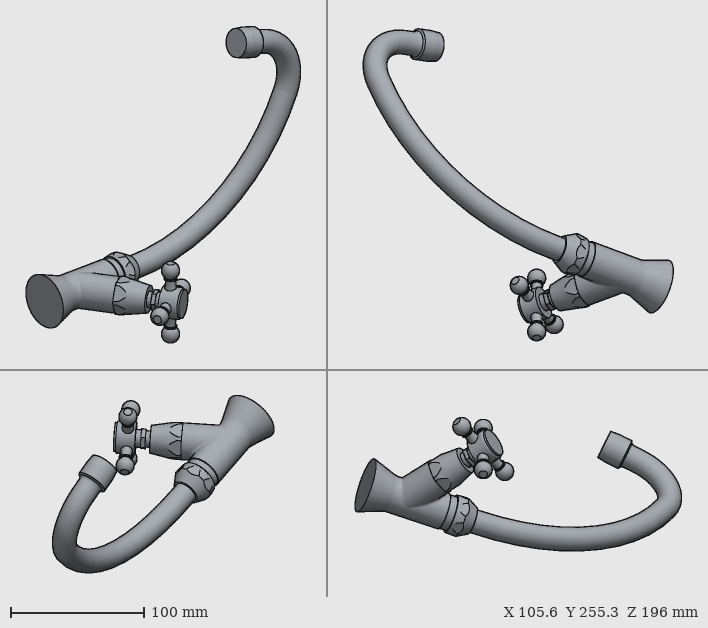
import math

import cadquery as cq

FOOT_RADIUS = 21.0
FOOT_LENGTH = 18.6
FOOT_TOP_RADIUS = 14.5
FOOT_BLEND_LENGTH = 3.0
BODY_RADIUS = 14.0
BODY_END = 63.3
COLLAR_RADIUS = 13.3
SPOUT_RADIUS = 9.0

HEX_SIDES = 6
NUT_START = 69.2
NUT_START_RADIUS = 14.6
NUT_BAND_START = 75.7
NUT_BAND_END = 77.1
NUT_RADIUS = 15.65
NUT_END = 86.4
NUT_END_RADIUS = 10.6
NUT_FLAT_DISTANCE = 14.75

SPOUT_ARC_START = 90.2
SPOUT_ARC_ANGLE = 65.5
OVERALL_LENGTH = 255.33
SPOUT_TIP_RADIUS = 34.4
SPOUT_TIP_ANGLE = 165.5
SPOUT_STRAIGHT_LENGTH = 6.9

NOZZLE_FLARE_LENGTH = 2.9
NOZZLE_FLARE_RADIUS = 10.0
NOZZLE_SHOULDER = 3.9
NOZZLE_RADIUS = 11.7
NOZZLE_TAPER_START = 14.5
NOZZLE_LENGTH = 21.2
NOZZLE_END_RADIUS = 11.0

BRANCH_Y = 31.5
BRANCH_ANGLE = 30.0
BRANCH_RADIUS = 13.9
BRANCH_BLEND_RADIUS = 2.0

BONNET_START = 33.8
BONNET_BAND_END = 37.0
BONNET_RADIUS = 14.6
BONNET_END = 57.6
BONNET_END_RADIUS = 10.5
BONNET_FLAT_DISTANCE = 13.3

STEM_RADIUS = 6.2
STEM_NUT_START = 61.2
STEM_NUT_LENGTH = 3.4
STEM_NUT_CORNER_RADIUS = 8.1
STEM_TOP_RADIUS = 6.7

HUB_START = 68.7
HUB_END = 83.2
HUB_RADIUS = 12.2
HUB_EDGE_RADIUS = 1.2
CAP_RADIUS = 11.0
CAP_THICKNESS = 1.5

ARM_COUNT = 4
ARM_STATION = 74.6
ARM_ROOT_STATION = 10.5
ARM_ROOT_RADIUS = 4.8
ARM_RADIUS = 3.8
ARM_RING_START = 19.2
ARM_RING_LENGTH = 1.2
ARM_RING_RADIUS = 4.8
ARM_NECK_RADIUS = 4.1
BALL_CENTRE = 26.25
BALL_RADIUS = 6.85
BALL_TIP = 32.3

BODY_AXIS = (0, 1, 0)
BODY_ORIGIN = (0, 0, 0)
BRANCH_AXIS = (math.cos(math.radians(BRANCH_ANGLE)), math.sin(math.radians(BRANCH_ANGLE)), 0)
BRANCH_ORIGIN = (0, BRANCH_Y, 0)

BEND = math.radians(SPOUT_ARC_ANGLE)
TIP_HEADING = math.radians(SPOUT_TIP_ANGLE)
TIP_CENTRE_Y = OVERALL_LENGTH - SPOUT_RADIUS - SPOUT_TIP_RADIUS
SPOUT_ARC_RADIUS = (TIP_CENTRE_Y + SPOUT_TIP_RADIUS * math.sin(BEND) - SPOUT_ARC_START) / math.sin(BEND)
TIP_CENTRE_Z = SPOUT_ARC_RADIUS - (SPOUT_ARC_RADIUS - SPOUT_TIP_RADIUS) * math.cos(BEND)
SPOUT_END_AXIS = (0, math.cos(TIP_HEADING), math.sin(TIP_HEADING))


def along(direction, origin=(0, 0, 0), radial=(0, 0, 1)):
    """Workplane whose local X is the radial direction and local Y the turning axis."""
    normal = cq.Vector(*radial).cross(cq.Vector(*direction))
    return cq.Workplane(cq.Plane(origin=origin, xDir=radial, normal=normal.toTuple()))


def turn(outline):
    """Revolve a closed outline about its local Y axis."""
    return outline.close().revolve(360, (0, 0), (0, 1))


def turned_steps(workplane, steps):
    """Turned solid from (radius, station) points in order along the axis."""
    first_station = steps[0][1]
    last_station = steps[-1][1]
    return turn(workplane.polyline([(0, first_station)] + steps + [(0, last_station)]))


def hex_bar(direction, origin, start, end, flat_distance):
    """Hexagonal bar along an axis with a flat facing +Z."""
    corner_diameter = 2 * flat_distance / math.cos(math.pi / HEX_SIDES)
    plane = cq.Plane(origin=origin, xDir=cq.Vector(*direction).cross(cq.Vector(0, 0, 1)), normal=direction)
    bar = cq.Workplane(plane).workplane(offset=start)
    return bar.polygon(HEX_SIDES, corner_diameter).extrude(end - start)


def make_body():
    """Flared foot blended into the cylindrical body."""
    flare_tangent = (FOOT_TOP_RADIUS - FOOT_RADIUS, FOOT_LENGTH)
    outline = (
        along(BODY_AXIS, radial=(-1, 0, 0))
        .moveTo(0, 0)
        .lineTo(FOOT_RADIUS, 0)
        .lineTo(FOOT_TOP_RADIUS, FOOT_LENGTH)
        .spline(
            [(BODY_RADIUS, FOOT_LENGTH + FOOT_BLEND_LENGTH)],
            tangents=[flare_tangent, (0, 1)],
            includeCurrent=True,
        )
        .lineTo(BODY_RADIUS, BODY_END)
        .lineTo(0, BODY_END)
    )
    return turn(outline)


def make_branch():
    """Slanted cylinder that carries the valve."""
    return turned_steps(
        along(BRANCH_AXIS, BRANCH_ORIGIN),
        [(BRANCH_RADIUS, 0), (BRANCH_RADIUS, BONNET_START)],
    )


def make_collar():
    """Narrow collar between the body and the spout nut."""
    return turned_steps(along(BODY_AXIS), [(COLLAR_RADIUS, BODY_END), (COLLAR_RADIUS, NUT_START)])


def make_nut():
    """Double-tapered nut with six flats."""
    blank = turned_steps(
        along(BODY_AXIS, radial=(-1, 0, 0)),
        [
            (NUT_START_RADIUS, NUT_START),
            (NUT_RADIUS, NUT_BAND_START),
            (NUT_RADIUS, NUT_BAND_END),
            (NUT_END_RADIUS, NUT_END),
        ],
    )
    return blank.intersect(hex_bar(BODY_AXIS, BODY_ORIGIN, NUT_START, NUT_END, NUT_FLAT_DISTANCE))


def tip_point(heading):
    """Point (Y, Z) on the tight arc where the spout runs at `heading` from +Y."""
    return (
        TIP_CENTRE_Y + SPOUT_TIP_RADIUS * math.sin(heading),
        TIP_CENTRE_Z - SPOUT_TIP_RADIUS * math.cos(heading),
    )


def moved_along_end(point, distance):
    """Point (Y, Z) shifted along the straight end of the spout."""
    return (point[0] + distance * SPOUT_END_AXIS[1], point[1] + distance * SPOUT_END_AXIS[2])


ARC_JOINT = tip_point(BEND)
TIP_END = tip_point(TIP_HEADING)
SPOUT_END = moved_along_end(TIP_END, SPOUT_STRAIGHT_LENGTH)


def make_spout():
    """Round bar swept along the swan-neck centreline."""
    wide_middle = (
        SPOUT_ARC_START + SPOUT_ARC_RADIUS * math.sin(BEND / 2),
        SPOUT_ARC_RADIUS * (1 - math.cos(BEND / 2)),
    )
    centreline = (
        cq.Workplane("YZ")
        .moveTo(NUT_START, 0)
        .lineTo(SPOUT_ARC_START, 0)
        .threePointArc(wide_middle, ARC_JOINT)
        .threePointArc(tip_point((BEND + TIP_HEADING) / 2), TIP_END)
        .lineTo(*SPOUT_END)
    )
    start = cq.Plane(origin=(0, NUT_START, 0), xDir=(1, 0, 0), normal=BODY_AXIS)
    return cq.Workplane(start).circle(SPOUT_RADIUS).sweep(centreline)


def make_nozzle():
    """Outlet nozzle that flares out of the spout and tapers at its mouth."""
    outline = (
        along(SPOUT_END_AXIS, (0, *SPOUT_END), radial=(1, 0, 0))
        .moveTo(0, 0)
        .lineTo(SPOUT_RADIUS, 0)
        .spline(
            [(NOZZLE_FLARE_RADIUS, NOZZLE_FLARE_LENGTH)],
            tangents=[(0, 1), (1, 1)],
            includeCurrent=True,
        )
        .lineTo(NOZZLE_RADIUS, NOZZLE_SHOULDER)
        .lineTo(NOZZLE_RADIUS, NOZZLE_TAPER_START)
        .lineTo(NOZZLE_END_RADIUS, NOZZLE_LENGTH)
        .lineTo(0, NOZZLE_LENGTH)
    )
    return turn(outline)


def make_bonnet():
    """Tapered bonnet with six flats at its wide end."""
    blank = turned_steps(
        along(BRANCH_AXIS, BRANCH_ORIGIN, radial=(BRANCH_AXIS[1], -BRANCH_AXIS[0], 0)),
        [
            (BONNET_RADIUS, BONNET_START),
            (BONNET_RADIUS, BONNET_BAND_END),
            (BONNET_END_RADIUS, BONNET_END),
        ],
    )
    flats = hex_bar(BRANCH_AXIS, BRANCH_ORIGIN, BONNET_START, BONNET_END, BONNET_FLAT_DISTANCE)
    return blank.intersect(flats)


def make_stem():
    """Valve stem with a hexagonal nut halfway along it."""
    nut_end = STEM_NUT_START + STEM_NUT_LENGTH
    rod = turned_steps(
        along(BRANCH_AXIS, BRANCH_ORIGIN),
        [
            (STEM_RADIUS, BONNET_END),
            (STEM_RADIUS, nut_end),
            (STEM_TOP_RADIUS, nut_end),
            (STEM_TOP_RADIUS, HUB_START),
        ],
    )
    flat_distance = STEM_NUT_CORNER_RADIUS * math.cos(math.pi / HEX_SIDES)
    return rod.union(hex_bar(BRANCH_AXIS, BRANCH_ORIGIN, STEM_NUT_START, nut_end, flat_distance))


def make_hub():
    """Handle hub with a rounded outer edge and a thin end cap."""
    cap_end = HUB_END + CAP_THICKNESS
    workplane = along(BRANCH_AXIS, BRANCH_ORIGIN)
    hub = turned_steps(workplane, [(HUB_RADIUS, HUB_START), (HUB_RADIUS, HUB_END)])
    outer_face = cq.selectors.DirectionMinMaxSelector(cq.Vector(*BRANCH_AXIS), True)
    rounded_hub = hub.faces(outer_face).edges().fillet(HUB_EDGE_RADIUS)
    return rounded_hub.union(turned_steps(workplane, [(CAP_RADIUS, HUB_END), (CAP_RADIUS, cap_end)]))


def make_arm(turn_angle):
    """Handle arm with a flared root, a ring and a ball flattened at its tip."""
    arm_start = HUB_RADIUS / 2
    flare_length = ARM_RING_START - ARM_ROOT_STATION
    flare_depth = ARM_ROOT_RADIUS - ARM_RADIUS
    flare_radius = (flare_length**2 + flare_depth**2) / (2 * flare_depth)
    ring_end = ARM_RING_START + ARM_RING_LENGTH
    tip_radius = math.sqrt(BALL_RADIUS**2 - (BALL_TIP - BALL_CENTRE) ** 2)
    ball_base = BALL_CENTRE - math.sqrt(BALL_RADIUS**2 - ARM_NECK_RADIUS**2)
    outline = (
        along((0, 0, 1), radial=(1, 0, 0))
        .moveTo(0, arm_start)
        .lineTo(ARM_ROOT_RADIUS, arm_start)
        .lineTo(ARM_ROOT_RADIUS, ARM_ROOT_STATION)
        .radiusArc((ARM_RADIUS, ARM_RING_START), flare_radius)
        .lineTo(ARM_RING_RADIUS, ARM_RING_START)
        .lineTo(ARM_RING_RADIUS, ring_end)
        .lineTo(ARM_NECK_RADIUS, ring_end)
        .lineTo(ARM_NECK_RADIUS, ball_base)
        .threePointArc((BALL_RADIUS, BALL_CENTRE), (tip_radius, BALL_TIP))
        .lineTo(0, BALL_TIP)
    )
    return (
        turn(outline)
        .rotate((0, 0, 0), (1, 0, 0), turn_angle)
        .translate((ARM_STATION, 0, 0))
        .rotate((0, 0, 0), (0, 0, 1), BRANCH_ANGLE)
        .translate(BRANCH_ORIGIN)
    )


def make_body_with_branch():
    """Body joined to the branch, with the seam between them rounded."""
    body = make_body()
    branch = make_branch()
    seam_midpoint = (BODY_RADIUS, BRANCH_Y + BODY_RADIUS * math.tan(math.radians(BRANCH_ANGLE)), 0)
    joined = body.union(branch)
    return joined.edges(cq.selectors.NearestToPointSelector(seam_midpoint)).fillet(BRANCH_BLEND_RADIUS)


result = make_body_with_branch()
for piece in (make_collar(), make_nut(), make_spout(), make_nozzle(), make_bonnet(), make_stem(), make_hub()):
    result = result.union(piece)
for arm_number in range(ARM_COUNT):
    result = result.union(make_arm(arm_number * 360 / ARM_COUNT))